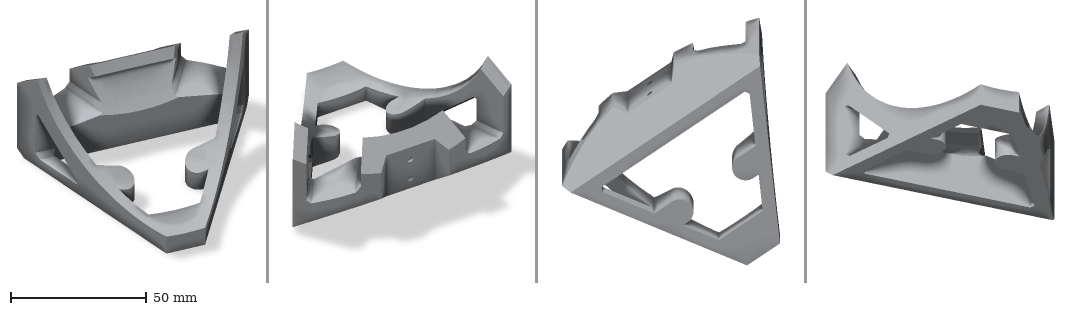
import cadquery as cq
import math


OUTER_RADIUS = 90.0
HALF_ANGLE = 30.0
TIP_HALF_WIDTH = 7.5
BLANK_HEIGHT = 60.0
TAN_HALF = math.tan(math.radians(HALF_ANGLE))
COS_HALF = math.cos(math.radians(HALF_ANGLE))
TIP_X = -TIP_HALF_WIDTH / TAN_HALF

FLAT_X = -85.0
FLAT_HALF_WIDTH = 10.0
FLAT_BOTTOM_Z = 10.0
FLAT_TOP_Z = 31.25

SEAT_RADIUS = 59.35
SEAT_X = -29.0
SEAT_Z = 65.9

POCKET_RADIUS = 64.0
POCKET_ROOF_DROP = 6.25

SIDE_WALL = 5.0
BACK_WALL_X = -70.0
OPENING_FRONT_HALF_WIDTH = 10.0
CORNER_CHAMFER = 2.0

TAB_X = -45.0
TAB_RADIUS = 5.0
TAB_CENTER_Y = 15.0

WINDOW_BOTTOM_Z = 5.0
WINDOW_TOP_Z = 30.0
WINDOW_FRONT_X = -50.0

NOTCH_WIDTH = 20.0
NOTCH_OUTER_Z = 15.0
NOTCH_INNER_Z = 20.0
NOTCH_FRONT = 60.0

HOLE_DIAMETER = 2.5
HOLE_DEPTH = 5.0
HOLE_HEIGHTS = (15.0, 25.0)


def wedge_body():
    corner_x = -OUTER_RADIUS * COS_HALF
    corner_y = -corner_x * TAN_HALF
    return (
        cq.Workplane("XY")
        .moveTo(TIP_X, TIP_HALF_WIDTH)
        .lineTo(corner_x, corner_y)
        .threePointArc((-OUTER_RADIUS, 0), (corner_x, -corner_y))
        .lineTo(TIP_X, -TIP_HALF_WIDTH)
        .close()
        .extrude(BLANK_HEIGHT)
    )


def back_bevel_profile():
    """Side profile that bevels the back at 45 degrees below and above the mounting flat."""
    reach = OUTER_RADIUS + FLAT_X
    bottom_start_x = FLAT_X + FLAT_BOTTOM_Z
    top_end_x = FLAT_X + BLANK_HEIGHT - FLAT_TOP_Z
    return (
        cq.Workplane("XZ")
        .polyline([
            (bottom_start_x, 0),
            (-OUTER_RADIUS, FLAT_BOTTOM_Z + reach),
            (-OUTER_RADIUS, FLAT_TOP_Z - reach),
            (top_end_x, BLANK_HEIGHT),
            (0, BLANK_HEIGHT),
            (0, 0),
        ])
        .close()
        .extrude(OUTER_RADIUS, both=True)
    )


def flat_recess():
    depth = OUTER_RADIUS + FLAT_X
    mouth_half_width = FLAT_HALF_WIDTH + depth
    return (
        cq.Workplane("XY")
        .polyline([
            (FLAT_X, FLAT_HALF_WIDTH),
            (-OUTER_RADIUS, mouth_half_width),
            (-OUTER_RADIUS, -mouth_half_width),
            (FLAT_X, -FLAT_HALF_WIDTH),
        ])
        .close()
        .extrude(BLANK_HEIGHT)
    )


def seat():
    return cq.Workplane("XY").sphere(SEAT_RADIUS).translate((SEAT_X, 0, SEAT_Z))


def inner_half_width(x):
    """Half width of the opening at the given X."""
    return -x * TAN_HALF - SIDE_WALL / COS_HALF


def back_wall_pocket():
    """Ball-shaped pocket kept within the back wall, under a roof parallel to the top bevel."""
    roof_at_flat_z = FLAT_TOP_Z - POCKET_ROOF_DROP
    wall_zone = (
        cq.Workplane("XZ")
        .polyline([
            (FLAT_X, 0),
            (BACK_WALL_X, 0),
            (BACK_WALL_X, roof_at_flat_z + BACK_WALL_X - FLAT_X),
            (FLAT_X, roof_at_flat_z),
        ])
        .close()
        .extrude(inner_half_width(BACK_WALL_X), both=True)
    )
    ball = cq.Workplane("XY").sphere(POCKET_RADIUS).translate((SEAT_X, 0, SEAT_Z))
    return ball.intersect(wall_zone)


def opening():
    front_x = -(OPENING_FRONT_HALF_WIDTH + SIDE_WALL / COS_HALF) / TAN_HALF
    back_half_width = inner_half_width(BACK_WALL_X)
    triangle = (
        cq.Workplane("XY")
        .polyline([
            (front_x, OPENING_FRONT_HALF_WIDTH),
            (BACK_WALL_X, back_half_width),
            (BACK_WALL_X, -back_half_width),
            (front_x, -OPENING_FRONT_HALF_WIDTH),
        ])
        .close()
        .extrude(BLANK_HEIGHT)
        .edges("|Z and <X")
        .chamfer(CORNER_CHAMFER)
    )
    return triangle.cut(tab(1)).cut(tab(-1))


def tab(side):
    """Tab on the +Y (side = 1) or -Y (side = -1) side, rooted past the outer face."""
    root_y = -TAB_X * TAN_HALF + TAB_RADIUS
    return (
        cq.Workplane("XY")
        .moveTo(TAB_X - TAB_RADIUS, side * root_y)
        .lineTo(TAB_X - TAB_RADIUS, side * TAB_CENTER_Y)
        .threePointArc(
            (TAB_X, side * (TAB_CENTER_Y - TAB_RADIUS)),
            (TAB_X + TAB_RADIUS, side * TAB_CENTER_Y),
        )
        .lineTo(TAB_X + TAB_RADIUS, side * root_y)
        .close()
        .extrude(BLANK_HEIGHT)
    )


def windows():
    return (
        cq.Workplane("XZ")
        .polyline([
            (BACK_WALL_X, WINDOW_BOTTOM_Z),
            (WINDOW_FRONT_X, WINDOW_BOTTOM_Z),
            (BACK_WALL_X, WINDOW_TOP_Z),
        ])
        .close()
        .extrude(OUTER_RADIUS, both=True)
        .edges("|Y")
        .chamfer(CORNER_CHAMFER)
    )


def notch(side):
    """Sloped-floor notch parallel to the side face at -Y (side = -1) or +Y (side = 1)."""
    inner = SIDE_WALL + NOTCH_WIDTH
    profile = (
        cq.Workplane("YZ")
        .polyline([
            (-side * SIDE_WALL, BLANK_HEIGHT),
            (-side * SIDE_WALL, NOTCH_OUTER_Z),
            (-side * inner, NOTCH_INNER_Z),
            (-side * inner, BLANK_HEIGHT),
        ])
        .close()
        .extrude(NOTCH_FRONT - OUTER_RADIUS)
    )
    chamfered = profile.edges("|X and (not >Z)").chamfer(CORNER_CHAMFER)
    aligned = chamfered.translate((-NOTCH_FRONT, 0, 0))
    return aligned.rotate((0, 0, 0), (0, 0, 1), -side * HALF_ANGLE)


def screw_holes():
    return (
        cq.Workplane("YZ", origin=(FLAT_X, 0, 0))
        .pushPoints([(0, height) for height in HOLE_HEIGHTS])
        .circle(HOLE_DIAMETER / 2)
        .extrude(HOLE_DEPTH)
    )


result = wedge_body().intersect(back_bevel_profile())
for cutter in (
    flat_recess(),
    seat(),
    back_wall_pocket(),
    opening(),
    windows(),
    screw_holes(),
    notch(1),
    notch(-1),
):
    result = result.cut(cutter)